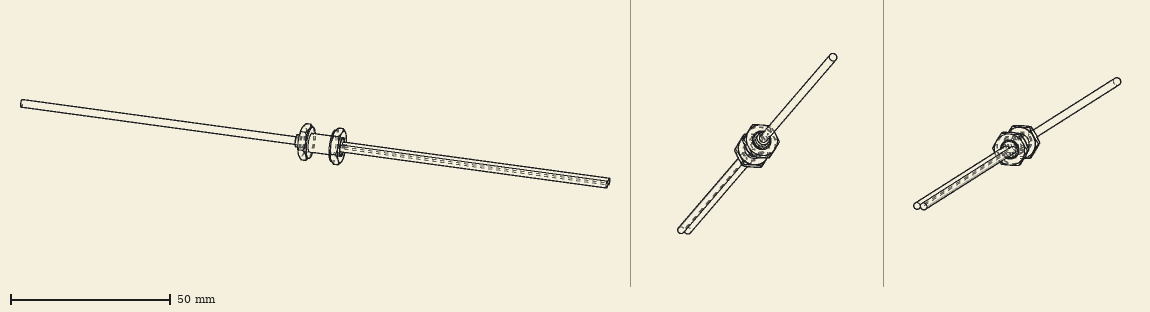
import cadquery as cq
import math

overall_length = 191.8
needle_length = 90.0
collar_length = 1.8
barrel_length = 13.0
barrel_start = needle_length + collar_length
barrel_end = barrel_start + barrel_length
cable_length = overall_length - barrel_end

needle_diameter = 2.5
collar_diameter = 4.0
barrel_diameter = 6.0
barrel_end_diameter = 5.19
barrel_chamfer = (barrel_diameter - barrel_end_diameter) / 2
cable_diameter = 2.2

nut_across_flats = 10.0
nut_across_corners = nut_across_flats / math.cos(math.radians(30))
nut_thickness = 2.8
nut_washer_face_thickness = 0.4
nut_chamfer_angle = 30.0


def rod(diameter, start, length, y=0.0):
    """Round rod along +X with its axis at the given Y."""
    return cq.Workplane("YZ", origin=(start, y, 0)).circle(diameter / 2).extrude(length)


def make_sensor():
    """Needle, collar, chamfered barrel and twin cable as one stepped body."""
    barrel = rod(barrel_diameter, barrel_start, barrel_length)
    sensor = barrel.faces("<X or >X").chamfer(barrel_chamfer)
    sensor = sensor.union(rod(needle_diameter, 0, needle_length))
    sensor = sensor.union(rod(collar_diameter, needle_length, collar_length))
    for side in (-1, 1):
        cable = rod(cable_diameter, barrel_end, cable_length, side * cable_diameter / 2)
        sensor = sensor.union(cable)
    return sensor


def make_nut(outer_face, inward):
    """Hexagon nut with corners on +-Y, growing from its outer face along X.

    inward is +1 or -1, the X direction from the outer face to the round washer face.
    """
    face_radius = nut_across_flats / 2
    corner_radius = nut_across_corners / 2
    chamfer_depth = (corner_radius - face_radius) * math.tan(math.radians(nut_chamfer_angle))
    washer_step = nut_thickness - nut_washer_face_thickness

    section = [
        (0, 0),
        (0, face_radius),
        (chamfer_depth, corner_radius),
        (washer_step - chamfer_depth, corner_radius),
        (washer_step, face_radius),
        (nut_thickness, face_radius),
        (nut_thickness, 0),
    ]
    section = [(outer_face + inward * depth, radius) for depth, radius in section]
    envelope = cq.Workplane("XY").polyline(section).close().revolve(360, (0, 0, 0), (1, 0, 0))

    hexagon = (
        cq.Workplane("YZ", origin=(outer_face, 0, 0))
        .polygon(6, nut_across_corners)
        .extrude(inward * nut_thickness)
    )
    bore = rod(barrel_diameter, outer_face, inward * nut_thickness)
    return hexagon.intersect(envelope).cut(bore)


sensor = make_sensor()
nuts = [make_nut(outer_face, inward) for outer_face, inward in ((barrel_start, 1), (barrel_end, -1))]

result = cq.Compound.makeCompound([sensor.val(), *[nut.val() for nut in nuts]])